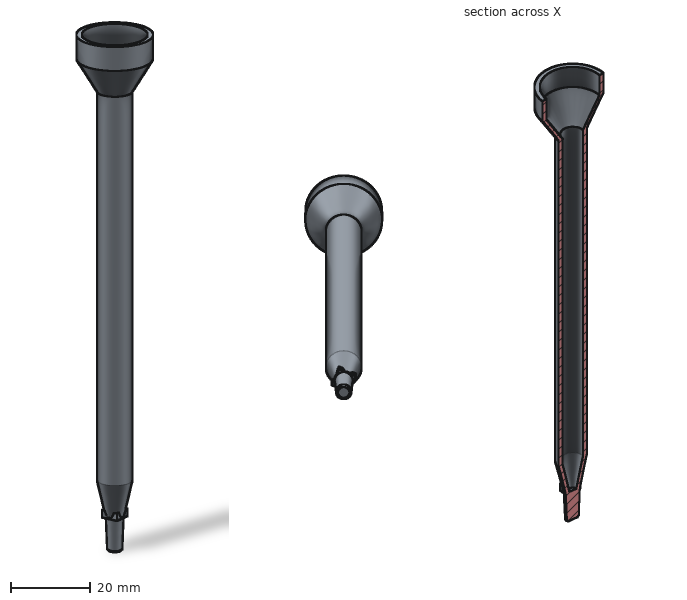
import cadquery as cq

total_height = 138.0
wall = 1.4

cup_diameter = 19.5
cup_height = 6.4
funnel_height = 8.7

tube_diameter = 9.1
tube_bottom_z = 18.9
cone_bottom_z = 9.4
cone_bore_end_diameter = 2.0
square_side = 4.7
square_bottom_z = 9.0
square_top_z = 11.0
tip_top_diameter = 4.6
tip_bottom_diameter = 3.9
tip_chamfer = 0.5

cup_radius = cup_diameter / 2
tube_radius = tube_diameter / 2
cup_bottom_z = total_height - cup_height
tube_top_z = cup_bottom_z - funnel_height
cone_bore_end_radius = cone_bore_end_diameter / 2
cone_end_radius = cone_bore_end_radius + wall


def revolve_stack(stations):
    """Solid of revolution about Z through (radius, z) stations listed from bottom to top."""
    bottom_z = stations[0][1]
    top_z = stations[-1][1]
    outline = [(0, bottom_z)] + stations + [(0, top_z)]
    return cq.Workplane("XZ").polyline(outline).close().revolve(360, (0, 0), (0, 1))


def funnel_and_tube(inset):
    """Cup, funnel, tube and lower cone, with every radius reduced by inset."""
    return revolve_stack([
        (cone_end_radius - inset, cone_bottom_z),
        (tube_radius - inset, tube_bottom_z),
        (tube_radius - inset, tube_top_z),
        (cup_radius - inset, cup_bottom_z),
        (cup_radius - inset, total_height),
    ])


def square_collar():
    """Square block whose corners stand out of the narrow end of the lower cone."""
    height = square_top_z - square_bottom_z
    collar = cq.Workplane("XY").workplane(offset=square_bottom_z)
    return collar.rect(square_side, square_side).extrude(height)


def tapered_tip():
    """Solid tapered tip with a chamfered end."""
    tip = revolve_stack([
        (tip_bottom_diameter / 2, 0),
        (tip_top_diameter / 2, square_bottom_z),
    ])
    return tip.faces("<Z").chamfer(tip_chamfer)


body = funnel_and_tube(0).union(square_collar()).union(tapered_tip())
result = body.cut(funnel_and_tube(wall))